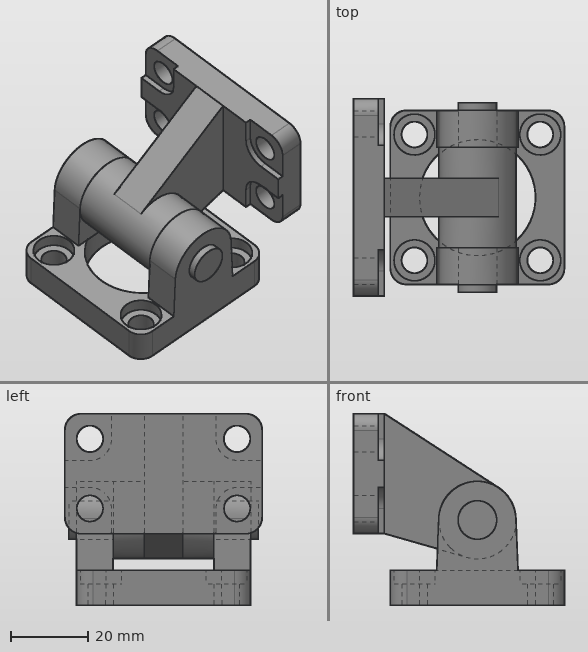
import cadquery as cq
import math

axis_height = 22.0
barrel_diameter = 20.0
barrel_radius = barrel_diameter / 2
barrel_length = 26.0
pin_diameter = 10.0
pin_length = 49.0

base_size = 45.0
base_thickness = 9.1
base_corner_radius = 4.25
base_bore_diameter = 30.0
base_hole_spacing = 32.5
base_hole_diameter = 6.6
counterbore_diameter = 10.6
counterbore_depth = 3.5
ear_taper = 2.3
ear_thickness = (base_size - barrel_length) / 2

total_length = 54.5
total_height = 49.5
plate_width = 51.0
plate_height = 31.0
plate_thickness = 8.0
plate_corner_radius = 4.25
plate_hole_diameter = 6.75
plate_hole_spacing_y = 38.0
plate_hole_spacing_z = 18.0
relief_radius = 5.5
relief_depth = 1.6
arm_width = 10.0

plate_outer_x = base_size / 2 - total_length
plate_inner_x = plate_outer_x + plate_thickness
plate_middle_z = total_height - plate_height / 2
plate_bottom_z = total_height - plate_height


def cylinder_along_y(diameter, length):
    """Cylinder on the hinge axis, centred on y = 0."""
    return (
        cq.Workplane("XZ", origin=(0, length / 2, axis_height))
        .circle(diameter / 2)
        .extrude(length)
    )


def make_ear(side):
    """Tapered bearing lug whose straight flanks are tangent to its round top."""
    taper = math.radians(ear_taper)
    tangent_x = barrel_radius * math.cos(taper)
    tangent_z = axis_height + barrel_radius * math.sin(taper)
    foot_x = tangent_x + (tangent_z - base_thickness) * math.tan(taper)
    ear = (
        cq.Workplane("XZ")
        .moveTo(-foot_x, base_thickness)
        .lineTo(-tangent_x, tangent_z)
        .threePointArc((0, axis_height + barrel_radius), (tangent_x, tangent_z))
        .lineTo(foot_x, base_thickness)
        .close()
        .extrude(ear_thickness / 2, both=True)
    )
    return ear.translate((0, side * (barrel_length + ear_thickness) / 2, 0))


def make_base():
    """Square foot with a central bore, counterbored corner holes and two ears."""
    base = (
        cq.Workplane("XY")
        .rect(base_size, base_size)
        .extrude(base_thickness)
        .edges("|Z")
        .fillet(base_corner_radius)
        .faces(">Z")
        .workplane()
        .hole(base_bore_diameter)
        .faces(">Z")
        .workplane()
        .rect(base_hole_spacing, base_hole_spacing, forConstruction=True)
        .vertices()
        .cboreHole(base_hole_diameter, counterbore_diameter, counterbore_depth)
    )
    for side in (-1, 1):
        base = base.union(make_ear(side))
    return base.cut(cylinder_along_y(pin_diameter, pin_length))


def make_corner_relief(side_y, side_z):
    """Shallow recess open to the plate corner, rounded about its screw hole."""
    hole_y = side_y * plate_hole_spacing_y / 2
    hole_z = plate_middle_z + side_z * plate_hole_spacing_z / 2
    inner_y = hole_y - side_y * relief_radius
    inner_z = hole_z - side_z * relief_radius
    outer_y = side_y * plate_width / 2
    outer_z = plate_middle_z + side_z * plate_height / 2
    diagonal = relief_radius * math.sqrt(0.5)
    arc_middle = (hole_y - side_y * diagonal, hole_z - side_z * diagonal)
    return (
        cq.Workplane("YZ", origin=(plate_inner_x, 0, 0))
        .moveTo(outer_y, outer_z)
        .lineTo(inner_y, outer_z)
        .lineTo(inner_y, hole_z)
        .threePointArc(arc_middle, (hole_y, inner_z))
        .lineTo(outer_y, inner_z)
        .close()
        .extrude(-relief_depth)
    )


def make_plate():
    """Upright mounting plate with four holes and a relief at each corner."""
    plate = (
        cq.Workplane("YZ", origin=(plate_outer_x, 0, plate_middle_z))
        .rect(plate_width, plate_height)
        .extrude(plate_thickness)
        .edges("|X")
        .fillet(plate_corner_radius)
    )
    holes = (
        cq.Workplane("YZ", origin=(plate_outer_x, 0, plate_middle_z))
        .rect(plate_hole_spacing_y, plate_hole_spacing_z, forConstruction=True)
        .vertices()
        .circle(plate_hole_diameter / 2)
        .extrude(plate_thickness)
    )
    plate = plate.cut(holes)
    for side_y in (-1, 1):
        for side_z in (-1, 1):
            plate = plate.cut(make_corner_relief(side_y, side_z))
    return plate


def barrel_tangent_point(start_z, side):
    """Point where a line from the plate face touches the barrel, above (+1) or below (-1)."""
    offset_x = plate_inner_x
    offset_z = start_z - axis_height
    distance = math.hypot(offset_x, offset_z)
    direction = math.atan2(offset_z, offset_x) - side * math.acos(barrel_radius / distance)
    return (
        barrel_radius * math.cos(direction),
        axis_height + barrel_radius * math.sin(direction),
    )


def make_arm():
    """Web from the plate to the barrel, with edges tangent to the barrel."""
    return (
        cq.Workplane("XZ")
        .moveTo(plate_inner_x, plate_bottom_z)
        .lineTo(plate_inner_x, total_height)
        .lineTo(*barrel_tangent_point(total_height, 1))
        .lineTo(0, axis_height)
        .lineTo(*barrel_tangent_point(plate_bottom_z, -1))
        .close()
        .extrude(arm_width / 2, both=True)
    )


def make_swing_plate():
    """Moving half of the hinge: plate, arm, barrel and its pin ends."""
    barrel = cylinder_along_y(barrel_diameter, barrel_length)
    pin = cylinder_along_y(pin_diameter, pin_length)
    return make_plate().union(make_arm()).union(barrel).union(pin)


base = make_base()
swing_plate = make_swing_plate()

result = cq.Compound.makeCompound([base.val(), swing_plate.val()])